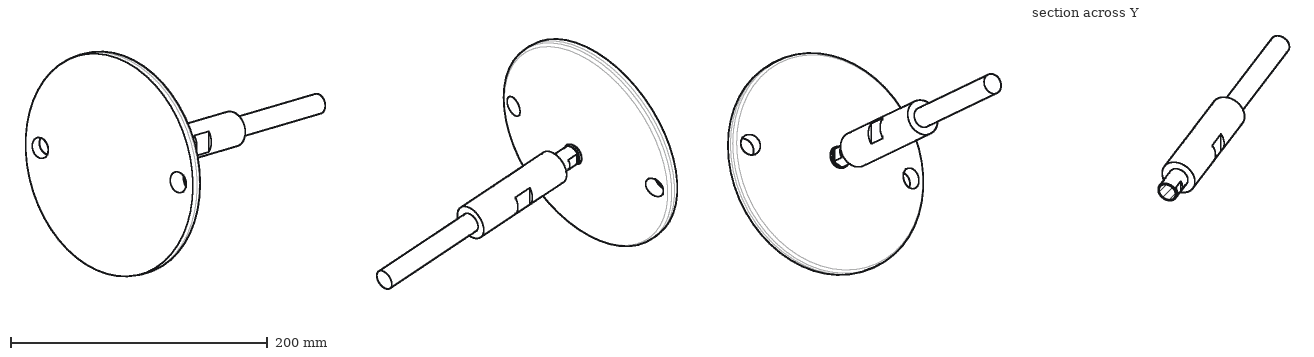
import cadquery as cq
import math

foot_diameter = 178.0
face_diameter = 177.0
rim_widest_y = 4.0
rim_top_diameter = 177.5
rim_top = 7.0
shoulder_y = 9.5
shoulder_radius = 87.0
foot_top = 22.8
foot_top_radius = 8.6

anchor_diameter = 16.5
anchor_offset = 73.0
anchor_cutter_length = 72.0

stem_top = 240.0
rod_diameter = 16.0
sleeve_diameter = 28.0
sleeve_bottom = 46.5
sleeve_top = 141.4

neck_bottom = 25.5
groove_bottom = 24.7
groove_diameter = 14.5
stem_base_diameter = 15.4
flange_diameter = 17.8
flange_y = 24.0

sleeve_flat_bottom = 85.7
sleeve_flat_length = 16.5
sleeve_across_flats = 22.5
neck_flat_bottom = 27.0
neck_flat_length = 9.5
neck_across_flats = 12.7


def revolve_about_y(profile):
    """Turn an (x, y) outline around the Y axis."""
    return profile.close().revolve(360, (0, 0, 0), (0, 1, 0))


def anchor_cutters():
    """Two inclined cylinders crossing the contact face at the anchor offset."""
    cone_angle = math.atan2(foot_top - shoulder_y, shoulder_radius - foot_top_radius)
    cutters = cq.Workplane()
    for side in (-1, 1):
        axis = cq.Vector(side * math.sin(cone_angle), math.cos(cone_angle), 0)
        start = cq.Vector(side * anchor_offset, 0, 0) - axis * (anchor_cutter_length / 2)
        cutters.add(cq.Solid.makeCylinder(anchor_diameter / 2, anchor_cutter_length, start, axis))
    return cutters


def make_foot():
    foot = revolve_about_y(
        cq.Workplane("XY")
        .moveTo(0, foot_top)
        .lineTo(foot_top_radius, foot_top)
        .lineTo(shoulder_radius, shoulder_y)
        .tangentArcPoint((rim_top_diameter / 2, rim_top), relative=False)
        .lineTo(foot_diameter / 2, rim_widest_y)
        .lineTo(face_diameter / 2, 0)
        .lineTo(0, 0)
    )
    for cutter in anchor_cutters().vals():
        foot = foot.cut(cq.Workplane(cutter))
    return foot


def cut_flats(body, diameter, across_flats, bottom, length):
    """Mill a pair of opposite flats into a cylindrical stretch."""
    for side in (-1, 1):
        cutter = (
            cq.Workplane("XY")
            .box(diameter, length, 2 * diameter, centered=(True, False, True))
            .translate((side * (across_flats + diameter) / 2, bottom, 0))
        )
        body = body.cut(cutter)
    return body


def make_sleeve():
    """Tube fitted around the rod."""
    sleeve = revolve_about_y(
        cq.Workplane("XY")
        .moveTo(rod_diameter / 2, sleeve_bottom)
        .lineTo(sleeve_diameter / 2, sleeve_bottom)
        .lineTo(sleeve_diameter / 2, sleeve_top)
        .lineTo(rod_diameter / 2, sleeve_top)
    )
    return cut_flats(sleeve, sleeve_diameter, sleeve_across_flats, sleeve_flat_bottom, sleeve_flat_length)


def make_stem():
    """Rod, neck, groove and sharp-edged flange in one piece, standing on the foot."""
    stem = revolve_about_y(
        cq.Workplane("XY")
        .moveTo(0, foot_top)
        .lineTo(stem_base_diameter / 2, foot_top)
        .lineTo(flange_diameter / 2, flange_y)
        .lineTo(groove_diameter / 2, groove_bottom)
        .lineTo(groove_diameter / 2, neck_bottom)
        .lineTo(rod_diameter / 2, neck_bottom)
        .lineTo(rod_diameter / 2, stem_top)
        .lineTo(0, stem_top)
    )
    return cut_flats(stem, rod_diameter, neck_across_flats, neck_flat_bottom, neck_flat_length)


foot = make_foot()
sleeve = make_sleeve()
stem = make_stem()

result = cq.Compound.makeCompound([foot.val(), sleeve.val(), stem.val()])